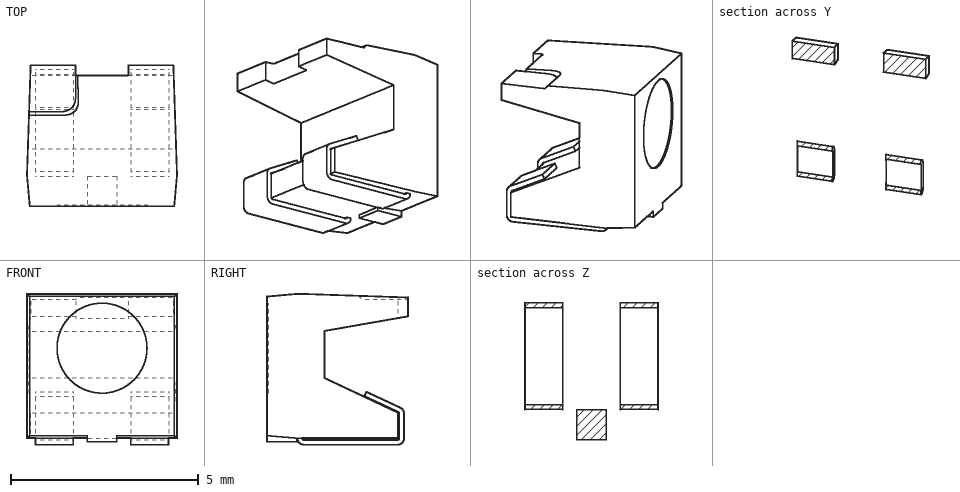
import cadquery as cq
import math

height = 4.03
max_width = 4.0
depth = 3.77

front_width = 3.855
back_width = 3.812
ridge_start = 0.81
ridge_end = 0.92
front_top = 3.957
back_top = 3.935
front_bottom = 0.245
body_bottom = 0.177
mouth_depth = 1.54
mouth_top = 3.035
mouth_bottom = 1.785
upper_lip = 3.425
lower_jaw_back = 3.5
lower_jaw_lip = 0.862

recess_diameter = 2.4
recess_z = 2.58
recess_depth = 0.04

notch_half_width = 0.705
notch_front = 3.49
notch_radius = 0.032
pocket_floor = 3.89
pocket_front = 2.525
pocket_radius = 0.545
pocket_draft = math.radians(45)
pocket_cutter_size = 0.405

foot_width = 0.79
foot_bottom = 0.08

strap_thickness = 0.135
strap_width = 1.015
strap_center = 1.27
strap_front = ridge_start
strap_back = 3.665
strap_outer_radius = 0.18
strap_inner_radius = strap_outer_radius - strap_thickness
strap_riser_top = 0.322
strap_tip_y = 2.595
strap_tip_z = 1.298
strap_slope = math.radians(25)


def extrude_across(points, width, center=0.0):
    """Extrude a (Y, Z) outline symmetrically about the plane X = center."""
    profile = cq.Workplane("YZ", origin=(center, 0, 0)).polyline(points).close()
    return profile.extrude(width / 2, both=True)


def make_housing():
    side = extrude_across(
        [
            (0, front_bottom),
            (0, front_top),
            (ridge_start, height),
            (ridge_end, height),
            (depth, back_top),
            (depth, upper_lip),
            (mouth_depth, mouth_top),
            (mouth_depth, mouth_bottom),
            (lower_jaw_back, lower_jaw_lip),
            (lower_jaw_back, body_bottom),
            (ridge_start, body_bottom),
        ],
        max_width,
    )
    plan = (
        cq.Workplane("XY")
        .polyline(
            [
                (-front_width / 2, 0),
                (front_width / 2, 0),
                (max_width / 2, ridge_start),
                (max_width / 2, ridge_end),
                (back_width / 2, depth),
                (-back_width / 2, depth),
                (-max_width / 2, ridge_end),
                (-max_width / 2, ridge_start),
            ]
        )
        .close()
        .extrude(height)
    )
    return side.intersect(plan)


def make_front_recess():
    plane = cq.Workplane("XZ", origin=(0, 0, recess_z))
    return plane.circle(recess_diameter / 2).extrude(-recess_depth)


def make_back_notch():
    """Notch through the upper jaw only."""
    notch = cq.Workplane("XY").box(
        2 * notch_half_width, depth - notch_front, height - mouth_top, centered=(True, False, False)
    )
    return notch.translate((0, notch_front, mouth_top)).edges("|Z and <Y").fillet(notch_radius)


def pocket_outline(left, back, spread):
    """Square-cornered pocket outline with its two walls moved outward by spread."""
    right = -notch_half_width + spread
    front = pocket_front - spread
    return [(left, back), (left, front), (right, front), (right, back)]


def make_corner_pocket():
    """Pocket with sloping walls and one rounded corner, open to the -X and +Y sides."""
    left = -max_width / 2 - pocket_cutter_size
    back = depth + pocket_cutter_size
    wall_height = pocket_cutter_size
    wall_spread = wall_height * math.tan(pocket_draft)
    pocket = (
        cq.Workplane("XY", origin=(0, 0, pocket_floor))
        .polyline(pocket_outline(left, back, 0))
        .close()
        .workplane(offset=wall_height)
        .polyline(pocket_outline(left, back, wall_spread))
        .close()
        .loft(ruled=True)
    )
    corner = (
        -notch_half_width + wall_spread / 2,
        pocket_front - wall_spread / 2,
        pocket_floor + wall_height / 2,
    )
    return pocket.edges(cq.NearestToPointSelector(corner)).fillet(pocket_radius)


def make_foot():
    outline = [
        (0, foot_bottom),
        (0, front_bottom),
        (ridge_start, body_bottom),
        (ridge_start, foot_bottom),
    ]
    return extrude_across(outline, foot_width)


def make_strap(center):
    """Strap rooted in the housing, wrapped under and behind the lower jaw."""
    inner_back = strap_back - strap_thickness
    outer_tip = (
        strap_tip_y + strap_thickness * math.sin(strap_slope),
        strap_tip_z + strap_thickness * math.cos(strap_slope),
    )
    outer_bend = (strap_back, outer_tip[1] - (strap_back - outer_tip[0]) * math.tan(strap_slope))
    inner_bend = (inner_back, strap_tip_z - (inner_back - strap_tip_y) * math.tan(strap_slope))
    outer_corners = [(strap_front, 0), (strap_back, 0), outer_bend]
    inner_corners = [
        inner_bend,
        (inner_back, strap_thickness),
        (strap_front + strap_thickness, strap_thickness),
    ]
    outline = [
        (strap_front, strap_riser_top),
        *outer_corners,
        outer_tip,
        (strap_tip_y, strap_tip_z),
        *inner_corners,
        (strap_front + strap_thickness, strap_riser_top),
    ]
    strap = extrude_across(outline, strap_width, center)
    for corners, radius in ((outer_corners, strap_outer_radius), (inner_corners, strap_inner_radius)):
        for y, z in corners:
            strap = strap.edges(cq.NearestToPointSelector((center, y, z))).fillet(radius)
    return strap


result = make_housing().cut(make_front_recess()).cut(make_back_notch()).cut(make_corner_pocket())
result = result.union(make_foot())
for side in (-1, 1):
    result = result.union(make_strap(side * strap_center))